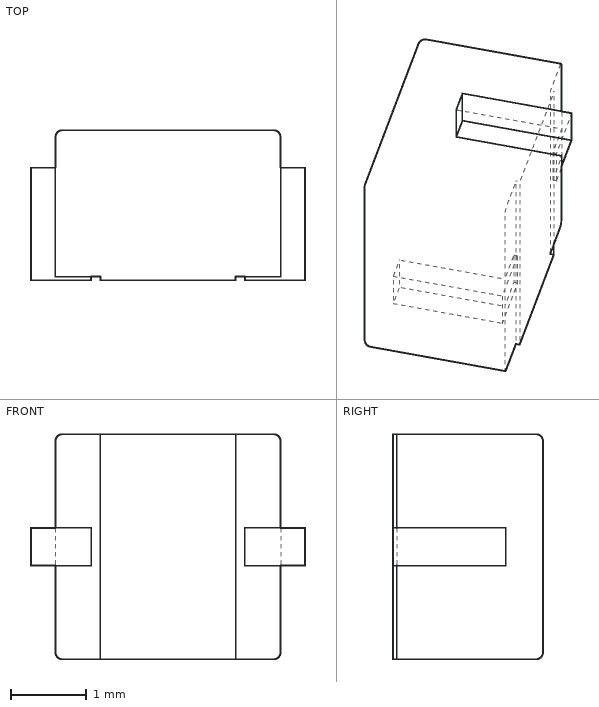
import cadquery as cq

overall_width = 3.65
body_depth = 2.0
body_size = 3.0

edge_radius = 0.1
standoff = 0.05
pad_width = 1.8

terminal_height = 0.5
terminal_depth = 1.5
foot_length = 0.803

half_width = overall_width / 2
half_body = body_size / 2
foot_tip = half_width - foot_length


def make_housing():
    """Rounded block with a raised pad running its full height."""
    block = cq.Workplane("XY").box(
        body_size, body_depth - standoff, body_size, centered=(True, False, True)
    )
    block = block.translate((0, standoff, 0))
    block = block.edges("|Y").fillet(edge_radius)
    block = block.faces(">Y").edges().fillet(edge_radius)

    pad = cq.Workplane("XY").box(pad_width, standoff, body_size, centered=(True, False, True))
    return block.union(pad)


def make_terminal(side):
    """L-shaped terminal: a thick arm beside the housing and a thin foot under its seat.

    side is +1 for the terminal at +X and -1 for the one at -X.
    """
    outline = [
        (side * half_width, 0),
        (side * half_width, terminal_depth),
        (side * half_body, terminal_depth),
        (side * half_body, standoff),
        (side * foot_tip, standoff),
        (side * foot_tip, 0),
    ]
    profile = cq.Workplane("XY").polyline(outline).close()
    return profile.extrude(terminal_height / 2, both=True)


housing = make_housing()
terminals = [make_terminal(side) for side in (-1, 1)]

result = cq.Compound.makeCompound([housing.val(), *[terminal.val() for terminal in terminals]])